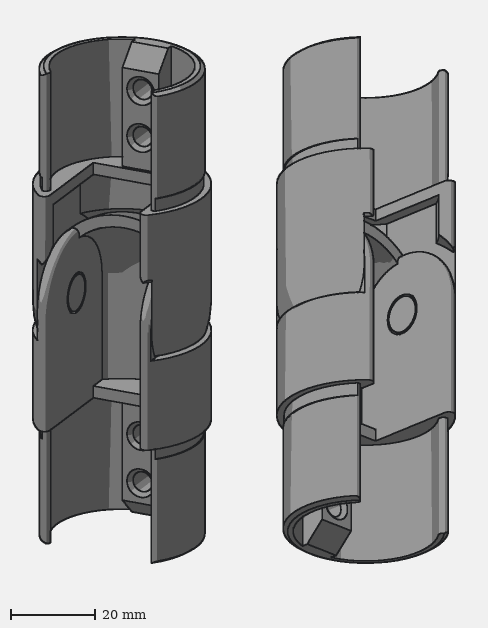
import cadquery as cq
import math

total_height = 120.0
hinge_height = total_height / 2
housing_diameter = 42.4
housing_end_inset = 30.0

channel_width = 24.0
channel_floor_y = 9.0
leg_tip_diameter = 3.0

sleeve_diameter = 39.4
sleeve_bore_diameter = 34.5
sleeve_opening_angle = 37.8
end_chamfer_width = 1.1
end_chamfer_height = 0.7
neck_diameter = 38.9
neck_height = 3.2

block_width = 9.6
block_face_y = 10.0
block_bevel_height = 4.8
block_bevel_depth = 5.0
screw_hole_diameter = 5.0
screw_sink_diameter = 7.2
screw_insets = (10.0, 22.0)

web_thickness = 3.0
cheek_outer_x = 15.0
ear_inner_x = 15.1
dome_front_y = 1.5
slot_depth = 7.3
ear_depth = 6.7
fork_cavity_diameter = housing_diameter - 2 * web_thickness
collar_bottom_height = 72.6
collar_bevel_slope = 1.2
collar_rim_width = 0.5
collar_rim_height = 0.7
pivot_pin_diameter = 9.0
pivot_hole_diameter = 10.0
pivot_pin_overlap = 1.2

housing_radius = housing_diameter / 2
channel_half = channel_width / 2
leg_tip_radius = leg_tip_diameter / 2
leg_center_x = channel_half + leg_tip_radius
leg_center_y = -math.sqrt((housing_radius - leg_tip_radius) ** 2 - leg_center_x ** 2)
leg_tangent_scale = housing_radius / (housing_radius - leg_tip_radius)
leg_tangent_x = leg_center_x * leg_tangent_scale
leg_tangent_y = leg_center_y * leg_tangent_scale
leg_lowest_y = leg_center_y - leg_tip_radius
reach = 2 * housing_diameter


def z_cylinder(diameter, bottom, top):
    """Cylinder on the tube axis between two heights."""
    return cq.Workplane("XY", origin=(0, 0, bottom)).circle(diameter / 2).extrude(top - bottom)


def x_cylinder(diameter, start, end):
    """Cylinder on the hinge axis between two X positions."""
    plane = cq.Workplane("YZ", origin=(start, 0, hinge_height))
    return plane.circle(diameter / 2).extrude(end - start)


def box(x_range, y_range, z_range):
    """Box between two positions on each axis."""
    sizes = [high - low for low, high in (x_range, y_range, z_range)]
    corner = (x_range[0], y_range[0], z_range[0])
    return cq.Workplane("XY").box(*sizes, centered=False).translate(corner)


def hinge_sphere(diameter):
    """Sphere about the centre of the hinge."""
    return cq.Workplane("XY", origin=(0, 0, hinge_height)).sphere(diameter / 2)


def flip(body):
    """Turn a body from the top end of the part to the bottom end."""
    return body.mirror("XY", (0, 0, hinge_height))


def housing_outline(plane):
    """Closed outline, on a workplane, of the C-shaped housing with rounded leg tips."""
    return (
        plane.moveTo(channel_half, channel_floor_y)
        .lineTo(channel_half, leg_center_y)
        .threePointArc((leg_center_x, leg_lowest_y), (leg_tangent_x, leg_tangent_y))
        .threePointArc((0, housing_radius), (-leg_tangent_x, leg_tangent_y))
        .threePointArc((-leg_center_x, leg_lowest_y), (-channel_half, leg_center_y))
        .lineTo(-channel_half, channel_floor_y)
        .close()
    )


def housing_prism(bottom, top):
    """C-shaped housing between two heights."""
    plane = cq.Workplane("XY", origin=(0, 0, bottom))
    return housing_outline(plane).extrude(top - bottom)


def sleeve_outline():
    """C-shaped tube wall with full-round tips, on the plane where the top housing ends."""
    outer = sleeve_diameter / 2
    inner = sleeve_bore_diameter / 2
    middle = (outer + inner) / 2
    tip_radius = (outer - inner) / 2
    angle = math.radians(sleeve_opening_angle)
    along_x = math.cos(angle)
    along_y = -math.sin(angle)
    tip_x = middle * along_x + tip_radius * along_y
    tip_y = middle * along_y - tip_radius * along_x
    return (
        cq.Workplane("XY", origin=(0, 0, total_height - housing_end_inset))
        .moveTo(outer * along_x, outer * along_y)
        .threePointArc((0, outer), (-outer * along_x, outer * along_y))
        .threePointArc((-tip_x, tip_y), (-inner * along_x, inner * along_y))
        .threePointArc((0, inner), (inner * along_x, inner * along_y))
        .threePointArc((tip_x, tip_y), (outer * along_x, outer * along_y))
        .close()
    )


def sleeve_envelope():
    """Turned outside of the top sleeve: narrow neck below, chamfer at the free end."""
    outer = sleeve_diameter / 2
    neck = neck_diameter / 2
    bottom = total_height - housing_end_inset
    return (
        cq.Workplane("XZ")
        .moveTo(0, bottom)
        .lineTo(neck, bottom)
        .lineTo(neck, bottom + neck_height)
        .lineTo(outer, bottom + neck_height)
        .lineTo(outer, total_height - end_chamfer_height)
        .lineTo(outer - end_chamfer_width, total_height)
        .lineTo(0, total_height)
        .close()
        .revolve(360, (0, 0, 0), (0, 1, 0))
    )


def screw_block():
    """Block on the sleeve wall, bevelled at its free end."""
    bottom = total_height - housing_end_inset
    back_y = sleeve_bore_diameter / 2
    return (
        cq.Workplane("YZ", origin=(-block_width / 2, 0, 0))
        .moveTo(block_face_y, bottom)
        .lineTo(back_y, bottom)
        .lineTo(back_y, total_height)
        .lineTo(block_face_y + block_bevel_depth, total_height)
        .lineTo(block_face_y, total_height - block_bevel_height)
        .close()
        .extrude(block_width)
    )


def screw_hole(inset):
    """Countersunk hole through the block and the sleeve wall."""
    hole_radius = screw_hole_diameter / 2
    sink_radius = screw_sink_diameter / 2
    sink_depth = sink_radius - hole_radius
    return (
        cq.Workplane("XY", origin=(0, 0, total_height - inset))
        .moveTo(0, block_face_y)
        .lineTo(sink_radius, block_face_y)
        .lineTo(hole_radius, block_face_y + sink_depth)
        .lineTo(hole_radius, housing_radius)
        .lineTo(0, housing_radius)
        .close()
        .revolve(360, (0, 0, 0), (0, 1, 0))
    )


def sleeve():
    """Top tube sleeve, with its screw block and holes."""
    body = sleeve_outline().extrude(housing_end_inset).intersect(sleeve_envelope())
    body = body.union(screw_block())
    for inset in screw_insets:
        body = body.cut(screw_hole(inset))
    return body


def fork_cheeks():
    """Housing section turned about the hinge axis: two discs with rounded rims."""
    rim_angle = math.atan2(leg_tangent_y, leg_tangent_x) / 2
    rim_middle = (housing_radius * math.cos(rim_angle), housing_radius * math.sin(rim_angle))
    disc = (
        cq.Workplane("XY", origin=(0, 0, hinge_height))
        .moveTo(channel_half, 0)
        .lineTo(channel_half, leg_center_y)
        .threePointArc((leg_center_x, leg_lowest_y), (leg_tangent_x, leg_tangent_y))
        .threePointArc(rim_middle, (housing_radius, 0))
        .close()
        .revolve(360, (0, 0, 0), (1, 0, 0))
    )
    return disc.union(disc.mirror("YZ"))


def fork_dome():
    """Spherical rear of the fork, hollow between the cheeks."""
    behind = box((-reach, reach), (dome_front_y, reach), (hinge_height, total_height))
    hollow = hinge_sphere(fork_cavity_diameter).intersect(
        box((-channel_half, channel_half), (-reach, reach), (0, total_height))
    )
    return hinge_sphere(housing_diameter).intersect(behind).cut(hollow)


def fork():
    """Lower body."""
    bottom = housing_end_inset
    floor = bottom + web_thickness
    body = housing_prism(bottom, hinge_height)
    cavity = z_cylinder(fork_cavity_diameter, floor, hinge_height)
    channel = box((-channel_half, channel_half), (-reach, reach), (floor, hinge_height))
    body = body.cut(cavity.intersect(channel))
    above = box((-reach, reach), (-reach, dome_front_y), (hinge_height, total_height))
    body = body.union(fork_cheeks().intersect(above)).union(fork_dome())
    slot_floor = hinge_height - slot_depth
    for start, end in ((-reach, -cheek_outer_x), (cheek_outer_x, reach)):
        body = body.cut(box((start, end), (-reach, reach), (slot_floor, total_height)))
    body = body.cut(x_cylinder(pivot_hole_diameter, -reach, reach))
    return body.union(flip(sleeve()))


def collar_envelope():
    """Turned outside of the collar: conical lower face and a chamfer around its outer edge."""
    top = total_height - housing_end_inset
    ridge_radius = housing_radius - collar_rim_width
    cavity_radius = sleeve_bore_diameter / 2
    cone_top = collar_bottom_height + collar_bevel_slope * (ridge_radius - cavity_radius)
    return (
        cq.Workplane("XZ")
        .moveTo(0, top)
        .lineTo(housing_radius, top)
        .lineTo(housing_radius, collar_bottom_height + collar_rim_height)
        .lineTo(ridge_radius, collar_bottom_height)
        .lineTo(cavity_radius, cone_top)
        .lineTo(0, cone_top)
        .close()
        .revolve(360, (0, 0, 0), (0, 1, 0))
    )


def ears():
    """Two side segments, rounded below the hinge axis, that carry the pivot pins."""
    bottom = hinge_height - ear_depth
    straight = z_cylinder(housing_diameter, hinge_height, total_height - housing_end_inset)
    both = straight.union(hinge_sphere(housing_diameter))
    middle = box((-ear_inner_x, ear_inner_x), (-reach, reach), (0, total_height))
    band = box((-reach, reach), (-reach, reach), (bottom, total_height - housing_end_inset))
    return both.intersect(band).cut(middle)


def pivot_pin(side):
    """Pin from an ear to the inner face of the cheek; side is +1 or -1."""
    pin_root_x = ear_inner_x + pivot_pin_overlap
    return x_cylinder(pivot_pin_diameter, side * channel_half, side * pin_root_x)


def collar():
    """Upper body."""
    top = total_height - housing_end_inset
    body = housing_prism(collar_bottom_height, top).intersect(collar_envelope())
    cavity = z_cylinder(sleeve_bore_diameter, collar_bottom_height, top - web_thickness)
    between = box((-ear_inner_x, ear_inner_x), (-reach, reach), (0, total_height))
    body = body.cut(cavity.intersect(between))
    body = body.union(ears())
    for side in (-1, 1):
        body = body.union(pivot_pin(side))
    return body.union(sleeve())


fork_body = fork()
collar_body = collar()
result = cq.Compound.makeCompound([fork_body.val(), collar_body.val()])